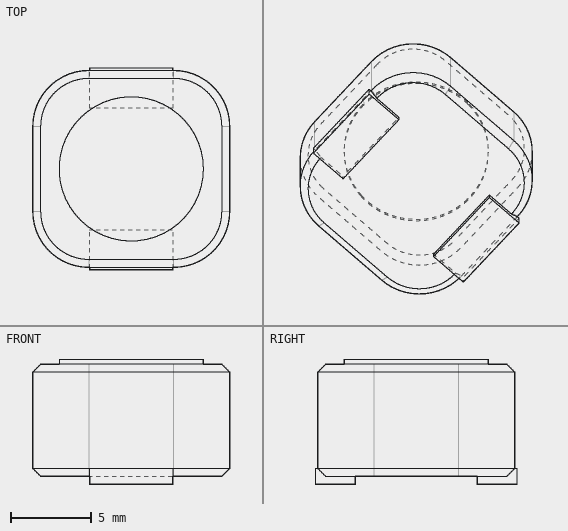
import cadquery as cq

body_side = 12.3
body_height = 7.0
corner_radius = 3.5
rim_chamfer = 0.5

core_diameter = 9.0
core_height = 0.3

terminal_width = 5.2
terminal_length = 2.5
terminal_height = 1.0
terminal_span = 12.6
standoff = 0.5

body_top = standoff + body_height


def make_body():
    block = (
        cq.Workplane("XY")
        .workplane(offset=standoff)
        .rect(body_side, body_side)
        .extrude(body_height)
    )
    rounded = block.edges("|Z").fillet(corner_radius)
    return rounded.faces("<Z or >Z").chamfer(rim_chamfer)


def make_core():
    return (
        cq.Workplane("XY")
        .workplane(offset=body_top)
        .circle(core_diameter / 2)
        .extrude(core_height)
    )


def make_terminal(side):
    """Terminal block resting on Z = 0; side is -1 for the -Y edge, +1 for the +Y edge."""
    center_y = side * (terminal_span - terminal_length) / 2
    return (
        cq.Workplane("XY")
        .center(0, center_y)
        .rect(terminal_width, terminal_length)
        .extrude(terminal_height)
    )


result = make_body().union(make_core())
for side in (-1, 1):
    result = result.union(make_terminal(side))